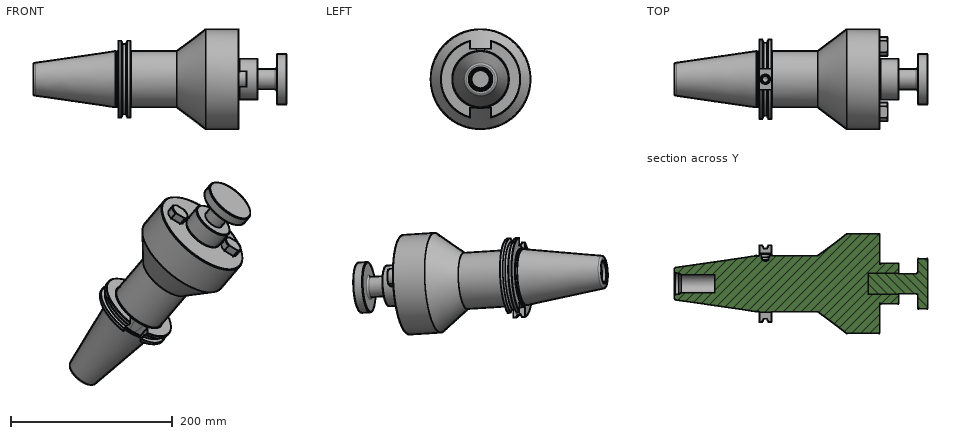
import cadquery as cq
total_length = 313.3

taper_length = 101.5
taper_large_radius = 70.0 / 2
taper_small_radius = taper_large_radius - taper_length * 7 / 48
taper_end_fillet = 2.8
bore_mouth_radius = 14.7
bore_lead_radius = 13.2
bore_cone_radius = 12.7
bore_thread_radius = 11.0
bore_mouth_depth = 1.3
bore_lead_depth = 6.0
bore_cone_depth = 8.8
bore_depth = 50.0

collar_radius = 34.5
flange_start = 105.0
flange_end = 120.3
flange_radius = 49.2
flange_chamfer = 0.47
groove_floor_radius = 45.5
groove_floor_width = 3.8
groove_mouth_width = 7.5
flange_root_chamfer = 0.78

slot_width = 25.7
top_slot_floor = 37.5
bottom_slot_floor = 35.0

port_mouth_radius = 6.0
port_radius = 10.0 / 2
port_chamfer = port_mouth_radius - port_radius
port_depth = 4.7
port_inner_radius = 8.0 / 2
port_inner_depth = 7.8

neck_radius = 70.0 / 2
cone_start = 177.3
cone_end = 213.0
head_radius = 123.8 / 2
head_face = 254.0
head_chamfer = 1.0

pilot_radius = 50.8 / 2
pilot_end = 277.5
pilot_chamfer = 1.0
relief_radius = 49.2 / 2
relief_width = 1.0

dog_diameter = 23.5
dog_width = 19.0
dog_offset = 40.5
dog_end = 263.8
dog_chamfer = 0.78
dog_seat_depth = dog_end - head_face

screw_radius = 25.5 / 2
screw_seat_depth = 37.5
screw_head_radius = 31.3
screw_head_start = 300.8
screw_head_chamfer = 1.0
screw_root_fillet = 2.5


def revolve_about_x(points):
    """Revolve an (axial, radial) outline about the X axis."""
    return cq.Workplane("XY").polyline(points).close().revolve(360, (0, 0, 0), (1, 0, 0))


def cylinder_along_x(radius, start, end):
    return cq.Workplane("YZ", origin=(start, 0, 0)).circle(radius).extrude(end - start)


def make_blank():
    """Taper, neck, cone, head and pilot as one turned shape."""
    collar_drop = taper_large_radius - collar_radius
    outline = [
        (0, 0),
        (0, taper_small_radius),
        (taper_length, taper_large_radius),
        (taper_length + collar_drop, collar_radius),
        (flange_start - flange_root_chamfer, collar_radius),
        (flange_start, collar_radius + flange_root_chamfer),
        (flange_end, neck_radius + flange_root_chamfer),
        (flange_end + flange_root_chamfer, neck_radius),
        (cone_start, neck_radius),
        (cone_end, head_radius),
        (head_face - head_chamfer, head_radius),
        (head_face, head_radius - head_chamfer),
        (head_face, relief_radius),
        (head_face + relief_width, relief_radius),
        (head_face + relief_width, pilot_radius),
        (pilot_end - pilot_chamfer, pilot_radius),
        (pilot_end, pilot_radius - pilot_chamfer),
        (pilot_end, 0),
    ]
    return revolve_about_x(outline).faces("<X").edges().fillet(taper_end_fillet)


def make_drawbar_bore():
    return revolve_about_x([
        (0, 0),
        (0, bore_mouth_radius),
        (bore_mouth_depth, bore_lead_radius),
        (bore_lead_depth, bore_cone_radius),
        (bore_cone_depth, bore_thread_radius),
        (bore_depth, bore_thread_radius),
        (bore_depth, 0),
    ])


def make_slot(floor, side):
    """Slot across the flange, above the floor; side is +1 for +Z and -1 for -Z."""
    length = flange_end - flange_start
    height = flange_radius - floor + 3
    middle = ((flange_start + flange_end) / 2, 0, side * (floor + height / 2))
    return cq.Workplane("XY", origin=middle).box(length, slot_width, height)


def make_flange():
    """Grooved disc with two slots; the face edges are chamfered except along the slot floors."""
    groove_middle = (flange_start + flange_end) / 2
    flange = revolve_about_x([
        (flange_start, 0),
        (flange_start, flange_radius),
        (groove_middle - groove_mouth_width / 2, flange_radius),
        (groove_middle - groove_floor_width / 2, groove_floor_radius),
        (groove_middle + groove_floor_width / 2, groove_floor_radius),
        (groove_middle + groove_mouth_width / 2, flange_radius),
        (flange_end, flange_radius),
        (flange_end, 0),
    ])
    flange = flange.cut(make_slot(top_slot_floor, 1)).cut(make_slot(bottom_slot_floor, -1))
    face_edges = flange.faces("<X or >X").edges()
    chamfered_edges = face_edges.filter(lambda edge: abs(edge.Center().y) > slot_width / 4)
    return chamfered_edges.chamfer(flange_chamfer)


def make_port():
    """Stepped, countersunk blind hole with a conical floor, sunk into the top slot."""
    outline = [
        (0, 0),
        (port_mouth_radius, 0),
        (port_radius, -port_chamfer),
        (port_radius, -port_depth),
        (port_inner_radius, -port_depth),
        (port_inner_radius, -port_inner_depth),
        (0, -port_inner_depth - port_inner_radius / 2),
    ]
    hole = cq.Workplane("XZ").polyline(outline).close().revolve(360, (0, 0, 0), (0, 1, 0))
    return hole.translate(((flange_start + flange_end) / 2, 0, top_slot_floor))


def make_dog(side):
    """Round drive dog with two flats, its root sunk into the head face."""
    root = head_face - dog_seat_depth
    length = dog_end - root
    dog = cq.Workplane("YZ", origin=(root, 0, 0)).circle(dog_diameter / 2).extrude(length)
    dog = dog.faces(">X").chamfer(dog_chamfer)
    flats = cq.Workplane("XY", origin=(root + length / 2, 0, 0)).box(length, dog_diameter, dog_width)
    return dog.intersect(flats).translate((0, side * dog_offset, 0))


def make_screw():
    """Headed screw, its shank filleted into the head and sunk into the pilot."""
    head = cylinder_along_x(screw_head_radius, screw_head_start, total_length)
    head = head.edges().chamfer(screw_head_chamfer)
    shank = cylinder_along_x(screw_radius, pilot_end - screw_seat_depth, screw_head_start)
    screw = head.union(shank)
    shank_edges = screw.edges("%CIRCLE").filter(lambda edge: edge.radius() < screw_radius * 1.01)
    root_edge = shank_edges.sort(lambda edge: -edge.Center().x).first()
    return root_edge.fillet(screw_root_fillet)


dogs = [make_dog(side) for side in (1, -1)]
screw = make_screw()

housing = make_blank().union(make_flange()).cut(make_drawbar_bore()).cut(make_port())
for body in [*dogs, screw]:
    housing = housing.cut(body)

result = cq.Compound.makeCompound([housing.val(), *[dog.val() for dog in dogs], screw.val()])